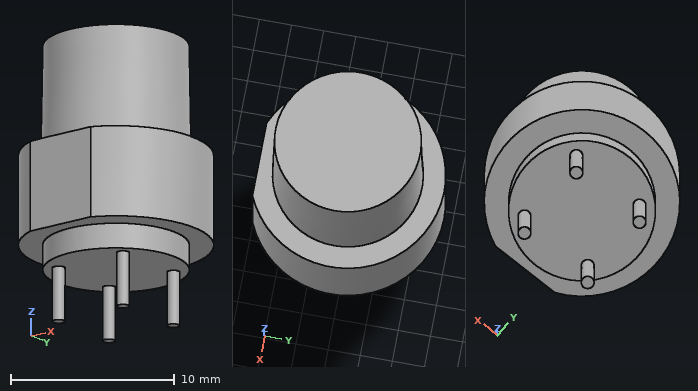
import cadquery as cq
import math

pin_length = 3.44
base_height = 1.59
collar_height = 5.79
total_height = 17.81
cap_height = total_height - pin_length - base_height - collar_height

base_diameter = 9.0
collar_diameter = 11.99
collar_depth = 11.5
cap_top_diameter = 9.0
cap_draft_angle = 1.0
pin_diameter = 0.78
pin_spacing = 5.0

cap_bottom_diameter = cap_top_diameter + 2 * cap_height * math.tan(math.radians(cap_draft_angle))

base_bottom = pin_length
collar_bottom = base_bottom + base_height
collar_top = collar_bottom + collar_height


def cylinder(diameter, height, bottom):
    return cq.Workplane("XY").workplane(offset=bottom).circle(diameter / 2).extrude(height)


def make_collar():
    """Round collar with one flat on its -Y side."""
    collar = cylinder(collar_diameter, collar_height, collar_bottom)
    flat_y = collar_diameter / 2 - collar_depth
    keep = (
        cq.Workplane("XY")
        .workplane(offset=collar_bottom)
        .center(0, flat_y)
        .rect(collar_diameter, collar_depth, centered=(True, False))
        .extrude(collar_height)
    )
    return collar.intersect(keep)


def make_cap():
    """Push cap tapering evenly toward its flat top."""
    return (
        cq.Workplane("XY")
        .workplane(offset=collar_top)
        .circle(cap_bottom_diameter / 2)
        .extrude(cap_height, taper=cap_draft_angle)
    )


def make_pins():
    """Four pins on a square pattern."""
    return (
        cq.Workplane("XY")
        .rect(pin_spacing, pin_spacing, forConstruction=True)
        .vertices()
        .circle(pin_diameter / 2)
        .extrude(pin_length)
    )


base = cylinder(base_diameter, base_height, base_bottom)
result = base.union(make_collar()).union(make_cap()).union(make_pins())